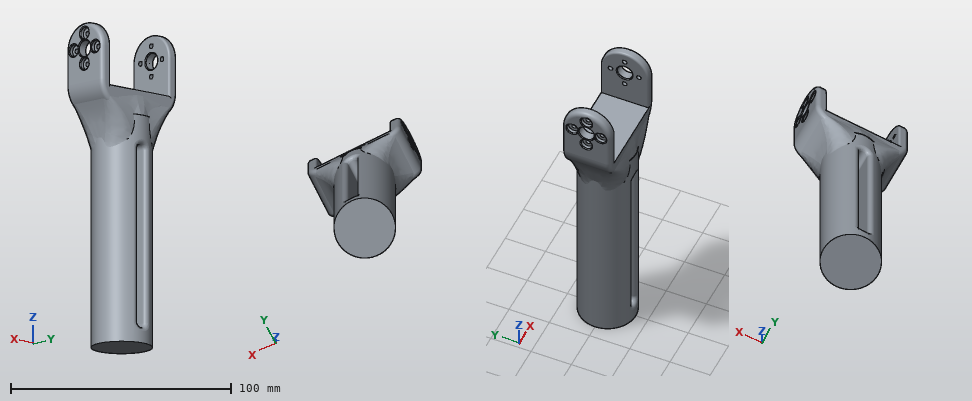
import cadquery as cq
import math

height = 147.0
fork_width = 47.0
handle_diameter = 28.0

arm_depth = 24.0
arm_thickness = 5.0
floor_height = 117.3
shoulder_height = 119.2
shoulder_radius = 12.5
outer_rounding = 2.0
inner_rounding = 1.0

pivot_diameter = 7.5
screw_diameter = 2.2
screw_head_diameter = 5.5
screw_head_depth = 2.0
screw_circle_radius = 7.0
screw_count = 4
mouth_chamfer = 0.5

slot_width = 4.7
slot_rounding = 1.9
slot_bottom = 9.7
slot_top = 89.8

flare_bottom = 89.7
flare_top = 111.7
flare_base_half_width = 13.5
flare_base_half_depth = 11.0
flare_base_corner_radius = 9.1
flare_top_half_width = 20.9
flare_top_corner_radius = 2.6
flare_bulge = 1.6
flare_steps = 5

cap_half_width = 13.1
cap_side_bottom = 109.7
cap_side_top = 112.3
cap_peak = 114.7
cap_foot = 103.6
cap_middle_half_width = 1.9
cap_ridge_y = 13.0
cap_ridge_height = 110.5
cap_ridge_foot_half_width = 4.7
cap_crown_y = 13.8
cap_crown_height = 105.4

handle_radius = handle_diameter / 2
fork_half_width = fork_width / 2
arm_half_depth = arm_depth / 2
arm_inner_x = fork_half_width - arm_thickness
pivot_height = height - arm_half_depth
shoulder_bottom = shoulder_height - shoulder_radius
selection_margin = 0.1


def make_fork():
    """Block with rounded shoulders and a round top, hollowed out between the arms."""
    block = (
        cq.Workplane("XY", origin=(0, 0, shoulder_bottom))
        .box(fork_width, arm_depth, height - shoulder_bottom, centered=(True, True, False))
        .edges("|Y and <Z")
        .fillet(shoulder_radius)
    )
    round_top = (
        cq.Workplane("YZ")
        .moveTo(-arm_half_depth, shoulder_bottom)
        .lineTo(-arm_half_depth, pivot_height)
        .threePointArc((0, height), (arm_half_depth, pivot_height))
        .lineTo(arm_half_depth, shoulder_bottom)
        .close()
        .extrude(fork_half_width, both=True)
    )
    block = block.intersect(round_top)
    block = block.faces("<X or >X").edges("not |Y").fillet(outer_rounding)

    gap = cq.Workplane("XY", origin=(0, 0, floor_height)).box(
        2 * arm_inner_x, fork_width, height, centered=(True, True, False)
    )
    fork = block.cut(gap)

    floor_back_edge = cq.selectors.NearestToPointSelector((0, arm_half_depth, floor_height))
    fork = fork.edges(floor_back_edge).fillet(inner_rounding)
    arm_rims = cq.selectors.BoxSelector(
        (-arm_inner_x - selection_margin, -arm_depth, floor_height + inner_rounding),
        (arm_inner_x + selection_margin, arm_depth, height + selection_margin),
    )
    return fork.edges(arm_rims).fillet(inner_rounding)


def flare_section(fraction):
    """Rounded rectangle at a fraction of the flare's height, widening ever faster towards the fork."""

    def blend(start, end):
        return start + (end - start) * fraction

    half_width = flare_base_half_width + (flare_top_half_width - flare_base_half_width) * fraction**2
    bulge = flare_bulge * 4 * fraction * (1 - fraction)
    half_depth = blend(flare_base_half_depth, arm_half_depth) + bulge
    radius = blend(flare_base_corner_radius, flare_top_corner_radius) + bulge
    section = cq.Sketch().rect(2 * half_width, 2 * half_depth).vertices().fillet(radius)
    return section.moved(cq.Location(cq.Vector(0, 0, blend(flare_bottom, flare_top))))


def make_flare():
    sections = [flare_section(step / flare_steps) for step in range(flare_steps + 1)]
    return cq.Workplane("XY").placeSketch(*sections).loft()


def make_cap(side):
    """Flat facets between three outlines, stepping outwards from the fork to the handle's surface."""
    crown_shoulder = (cap_foot + cap_crown_height) / 2
    return (
        cq.Workplane("XZ", origin=(0, side * arm_half_depth, 0))
        .moveTo(-cap_half_width, cap_side_bottom)
        .lineTo(-cap_half_width, cap_side_top)
        .lineTo(-cap_middle_half_width, cap_peak)
        .lineTo(cap_middle_half_width, cap_peak)
        .lineTo(cap_half_width, cap_side_top)
        .lineTo(cap_half_width, cap_side_bottom)
        .close()
        .workplane(offset=-side * (cap_ridge_y - arm_half_depth))
        .moveTo(-cap_ridge_foot_half_width, cap_foot)
        .lineTo(-cap_ridge_foot_half_width, cap_crown_height)
        .lineTo(-cap_middle_half_width, cap_ridge_height)
        .lineTo(cap_middle_half_width, cap_ridge_height)
        .lineTo(cap_ridge_foot_half_width, cap_crown_height)
        .lineTo(cap_ridge_foot_half_width, cap_foot)
        .close()
        .workplane(offset=-side * (cap_crown_y - cap_ridge_y))
        .moveTo(-cap_middle_half_width, cap_foot)
        .lineTo(-cap_middle_half_width, crown_shoulder)
        .lineTo(-cap_middle_half_width / 2, cap_crown_height)
        .lineTo(cap_middle_half_width / 2, cap_crown_height)
        .lineTo(cap_middle_half_width, crown_shoulder)
        .lineTo(cap_middle_half_width, cap_foot)
        .close()
        .loft(ruled=True)
    )


def cut_slot(body):
    """Cut the slot through the handle and round its rim on both sides."""
    slot_length = slot_top - slot_bottom + slot_width
    slot = (
        cq.Workplane("XZ", origin=(0, 0, (slot_top + slot_bottom) / 2))
        .slot2D(slot_length, slot_width, 90)
        .extrude(handle_diameter, both=True)
    )
    body = body.cut(slot)
    for side in (-1, 1):
        rim = cq.selectors.BoxSelector(
            (-slot_width, side * handle_radius / 2, slot_bottom - slot_width),
            (slot_width, side * handle_diameter, slot_top + slot_width / 2 + selection_margin),
        )
        body = body.edges(rim).fillet(slot_rounding)
    return body


def make_hole(start_x, end_x, diameter):
    """Round cutter along the X axis."""
    return cq.Workplane("YZ", origin=(start_x, 0, 0)).circle(diameter / 2).extrude(end_x - start_x)


def make_mouth(x, direction, diameter):
    """Cone that chamfers a hole of the given diameter, narrowing from x in the given direction."""
    return (
        cq.Workplane("YZ", origin=(x, 0, 0))
        .circle(diameter / 2 + mouth_chamfer)
        .workplane(offset=direction * mouth_chamfer)
        .circle(diameter / 2)
        .loft()
    )


def make_arm_holes():
    """Cutter for the +X arm: pivot hole and a ring of recessed screw holes."""
    pivot = make_hole(arm_inner_x, fork_half_width, pivot_diameter)
    pivot = pivot.union(make_mouth(fork_half_width, -1, pivot_diameter))
    cutter = pivot.union(make_mouth(arm_inner_x, 1, pivot_diameter))

    screw = make_hole(arm_inner_x, fork_half_width, screw_diameter)
    screw = screw.union(make_hole(fork_half_width - screw_head_depth, fork_half_width, screw_head_diameter))
    screw = screw.union(make_mouth(fork_half_width, -1, screw_head_diameter))
    for index in range(screw_count):
        angle = 2 * math.pi * index / screw_count
        y = screw_circle_radius * math.cos(angle)
        z = screw_circle_radius * math.sin(angle)
        cutter = cutter.union(screw.translate((0, y, z)))
    return cutter.translate((0, 0, pivot_height))


handle = cq.Workplane("XY").circle(handle_radius).extrude(cap_crown_height)
result = cut_slot(handle.union(make_flare()))
result = result.union(make_fork())
for side in (-1, 1):
    result = result.union(make_cap(side))
arm_holes = make_arm_holes()
result = result.cut(arm_holes).cut(arm_holes.mirror("YZ"))